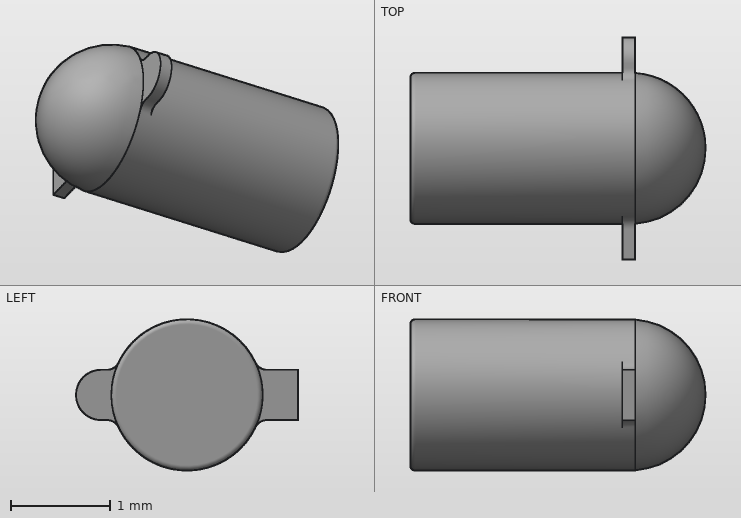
import cadquery as cq
import math

MIL = 0.0254

overall_length = 117 * MIL
barrel_radius = 30 * MIL
rim_radius = 2 * MIL

dome_radius = barrel_radius
dome_center_x = overall_length - dome_radius

flange_thickness = 5 * MIL
tab_reach = 44 * MIL
tab_half_width = 10 * MIL
tab_fillet = 5 * MIL
flange_face_x = 89 * MIL
dome_base_radius = math.sqrt(dome_radius**2 - (flange_face_x - dome_center_x) ** 2)


def make_barrel():
    """Cylinder with a rounded flat end, as far as the dome side of the flange."""
    cylinder = cq.Workplane("YZ").circle(barrel_radius).extrude(flange_face_x)
    return cylinder.faces("<X").edges().fillet(rim_radius)


def make_dome():
    """Spherical cap standing on the end of the barrel."""
    middle_angle = math.atan2(dome_base_radius, flange_face_x - dome_center_x) / 2
    arc_middle = (
        dome_center_x + dome_radius * math.cos(middle_angle),
        dome_radius * math.sin(middle_angle),
    )
    return (
        cq.Workplane("XY")
        .moveTo(flange_face_x, 0)
        .lineTo(flange_face_x, dome_base_radius)
        .threePointArc(arc_middle, (overall_length, 0))
        .close()
        .revolve(360, (0, 0, 0), (1, 0, 0))
    )


def make_flange():
    """Thin disc with two opposite tabs, filleted where the tabs leave the disc."""
    round_end_y = tab_reach - tab_half_width
    tabs = (
        cq.Workplane("YZ")
        .moveTo(-tab_reach, -tab_half_width)
        .lineTo(round_end_y, -tab_half_width)
        .threePointArc((tab_reach, 0), (round_end_y, tab_half_width))
        .lineTo(-tab_reach, tab_half_width)
        .close()
        .extrude(flange_thickness)
    )
    disc = cq.Workplane("YZ").circle(barrel_radius).extrude(flange_thickness)
    inner_corners = cq.selectors.BoxSelector(
        (0, -barrel_radius, -barrel_radius),
        (flange_thickness, barrel_radius, barrel_radius),
    )
    flange = disc.union(tabs).edges("|X").edges(inner_corners).fillet(tab_fillet)
    return flange.translate((flange_face_x - flange_thickness, 0, 0))


result = make_barrel().union(make_flange()).union(make_dome())